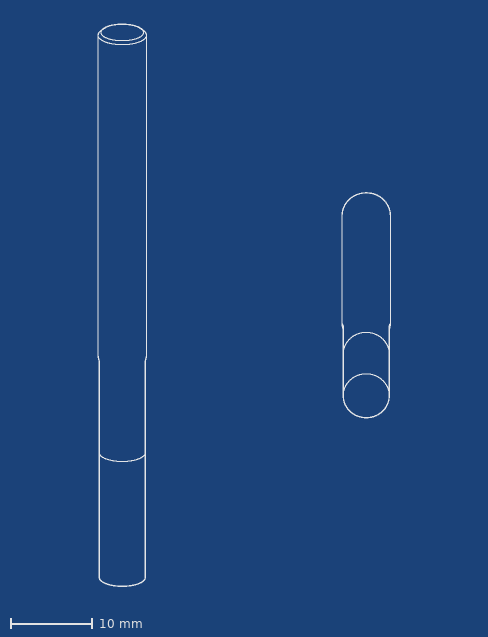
import cadquery as cq
import math

TOTAL_LENGTH = 74.0
SHANK_DIAMETER = 6.0
SHANK_RADIUS = SHANK_DIAMETER / 2
NECK_DIAMETER = 5.7
NECK_RADIUS = NECK_DIAMETER / 2

HEAD_TOP = 17.75
POINT_ANGLE = 140.0
POINT_HEIGHT = NECK_RADIUS / math.tan(math.radians(POINT_ANGLE / 2))

SHOULDER_BOTTOM = 30.0
SHOULDER_TOP = 30.7
END_CHAMFER_WIDTH = 0.4
END_CHAMFER_HEIGHT = 0.4


def turned(profile):
    """Revolve a half profile of (radius, height) points about the Z axis."""
    return cq.Workplane("XZ").polyline(profile).close().revolve(360, (0, 0), (0, 1))


def make_holder():
    """Neck, conical shoulder and shank with a chamfered end."""
    return turned([
        (0, HEAD_TOP),
        (NECK_RADIUS, HEAD_TOP),
        (NECK_RADIUS, SHOULDER_BOTTOM),
        (SHANK_RADIUS, SHOULDER_TOP),
        (SHANK_RADIUS, TOTAL_LENGTH - END_CHAMFER_HEIGHT),
        (SHANK_RADIUS - END_CHAMFER_WIDTH, TOTAL_LENGTH),
        (0, TOTAL_LENGTH),
    ])


def make_head():
    """Cylindrical head, as wide as the neck, ending in a conical point."""
    return turned([
        (0, 0),
        (NECK_RADIUS, POINT_HEIGHT),
        (NECK_RADIUS, HEAD_TOP),
        (0, HEAD_TOP),
    ])


holder = make_holder()
head = make_head()

result = cq.Compound.makeCompound([holder.val(), head.val()])